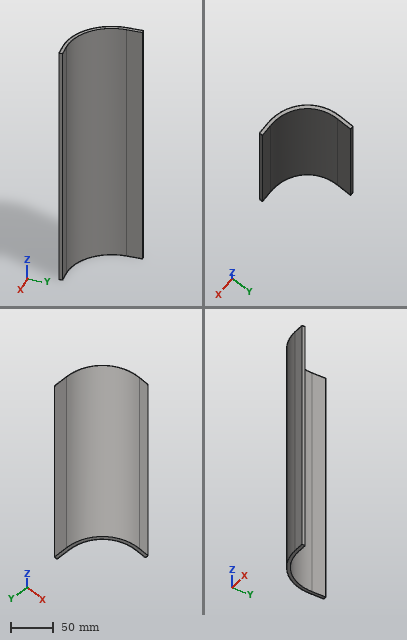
import cadquery as cq
import math

length = 320.0
width_x = 75.0
depth_y = 80.0
outer_radius = 60.0
thickness = 4.5

left = -width_x / 2
right = width_x / 2
front = -depth_y / 2
back = depth_y / 2
center_x = left + outer_radius
center_y = front + outer_radius
inner_radius = outer_radius - thickness


def arc_midpoint(radius):
    """Point halfway along the quarter bend of the given radius."""
    offset = radius * math.sqrt(0.5)
    return (center_x - offset, center_y - offset)


profile = (
    cq.Workplane("XY", origin=(0, 0, -length / 2))
    .moveTo(left, back)
    .lineTo(left, center_y)
    .threePointArc(arc_midpoint(outer_radius), (center_x, front))
    .lineTo(right, front)
    .lineTo(right, front + thickness)
    .lineTo(center_x, front + thickness)
    .threePointArc(arc_midpoint(inner_radius), (left + thickness, center_y))
    .lineTo(left + thickness, back)
    .close()
)

result = profile.extrude(length)